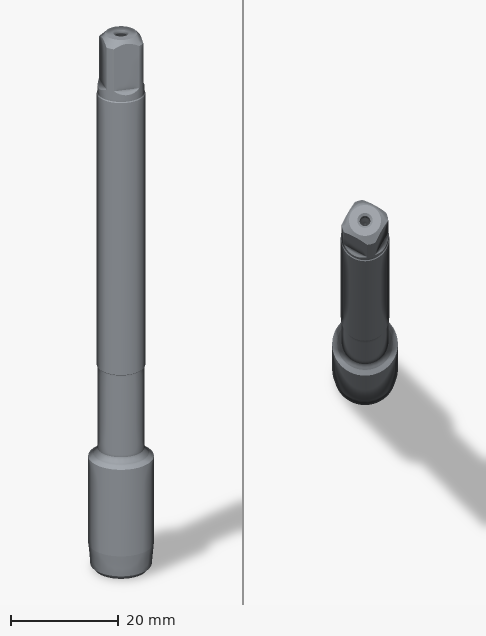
import cadquery as cq

TOTAL_LENGTH = 110.0

HEAD_RADIUS = 12.2 / 2
HEAD_TOP = 23.6
HEAD_CHAMFER_HEIGHT = 0.7
FOOT_RADIUS = 5.2
LEAD_TOP = 5.2
LEAD_RADIUS = 5.7
TIP_HEIGHT = 0.9
TIP_RADIUS = 5.0

NECK_RADIUS = 8.7 / 2
SHANK_RADIUS = 9.0 / 2
FLARE_HEIGHT = 1.1
SHANK_BOTTOM = 41.6
SHANK_TOP = 97.9
SHANK_CHAMFER = SHANK_RADIUS - NECK_RADIUS

SQUARE_WIDTH = 7.2
FLAT_BOTTOM = 100.0
TOP_RADIUS = 3.0
TOP_CHAMFER = NECK_RADIUS - TOP_RADIUS

CENTER_RADIUS = 2.0 / 2
COUNTERSINK_RADIUS = 1.4
CENTER_DEPTH = 1.6


def make_head():
    """Cutting head with a tapered lead and chamfered ends."""
    return (
        cq.Workplane("XZ")
        .lineTo(TIP_RADIUS, 0)
        .lineTo(LEAD_RADIUS, TIP_HEIGHT)
        .lineTo(HEAD_RADIUS, LEAD_TOP)
        .lineTo(HEAD_RADIUS, HEAD_TOP - HEAD_CHAMFER_HEIGHT)
        .lineTo(FOOT_RADIUS, HEAD_TOP)
        .lineTo(0, HEAD_TOP)
        .close()
        .revolve(360, (0, 0, 0), (0, 1, 0))
    )


def make_round_shank():
    """Turned shank: flared foot, neck, main diameter and chamfered top."""
    return (
        cq.Workplane("XZ")
        .moveTo(0, HEAD_TOP)
        .lineTo(FOOT_RADIUS, HEAD_TOP)
        .lineTo(NECK_RADIUS, HEAD_TOP + FLARE_HEIGHT)
        .lineTo(NECK_RADIUS, SHANK_BOTTOM)
        .lineTo(SHANK_RADIUS, SHANK_BOTTOM + SHANK_CHAMFER)
        .lineTo(SHANK_RADIUS, SHANK_TOP - SHANK_CHAMFER)
        .lineTo(NECK_RADIUS, SHANK_TOP)
        .lineTo(NECK_RADIUS, TOTAL_LENGTH - TOP_CHAMFER)
        .lineTo(TOP_RADIUS, TOTAL_LENGTH)
        .lineTo(0, TOTAL_LENGTH)
        .close()
        .revolve(360, (0, 0, 0), (0, 1, 0))
    )


def make_flat_cutter():
    """Wedge that cuts the drive flat on the +X side, with its runout ramp."""
    flat_distance = SQUARE_WIDTH / 2
    outer_side = HEAD_RADIUS
    return (
        cq.Workplane("XZ")
        .moveTo(flat_distance, FLAT_BOTTOM)
        .lineTo(outer_side, FLAT_BOTTOM - (outer_side - flat_distance))
        .lineTo(outer_side, TOTAL_LENGTH)
        .lineTo(flat_distance, TOTAL_LENGTH)
        .close()
        .extrude(SHANK_RADIUS, both=True)
    )


def make_center_cutter():
    """Center hole in the top face; all its cones slope at 45 degrees."""
    countersink_bottom = TOTAL_LENGTH - (COUNTERSINK_RADIUS - CENTER_RADIUS)
    hole_bottom = TOTAL_LENGTH - CENTER_DEPTH
    return (
        cq.Workplane("XZ")
        .moveTo(0, TOTAL_LENGTH)
        .lineTo(COUNTERSINK_RADIUS, TOTAL_LENGTH)
        .lineTo(CENTER_RADIUS, countersink_bottom)
        .lineTo(CENTER_RADIUS, hole_bottom)
        .lineTo(0, hole_bottom - CENTER_RADIUS)
        .close()
        .revolve(360, (0, 0, 0), (0, 1, 0))
    )


def make_shank():
    """Round shank with the square drive and the center hole cut into its top."""
    shank = make_round_shank()
    flat_cutter = make_flat_cutter()
    for angle in (0, 90, 180, 270):
        shank = shank.cut(flat_cutter.rotate((0, 0, 0), (0, 0, 1), angle))
    return shank.cut(make_center_cutter())


head = make_head()
shank = make_shank()

result = cq.Compound.makeCompound([head.val(), shank.val()])